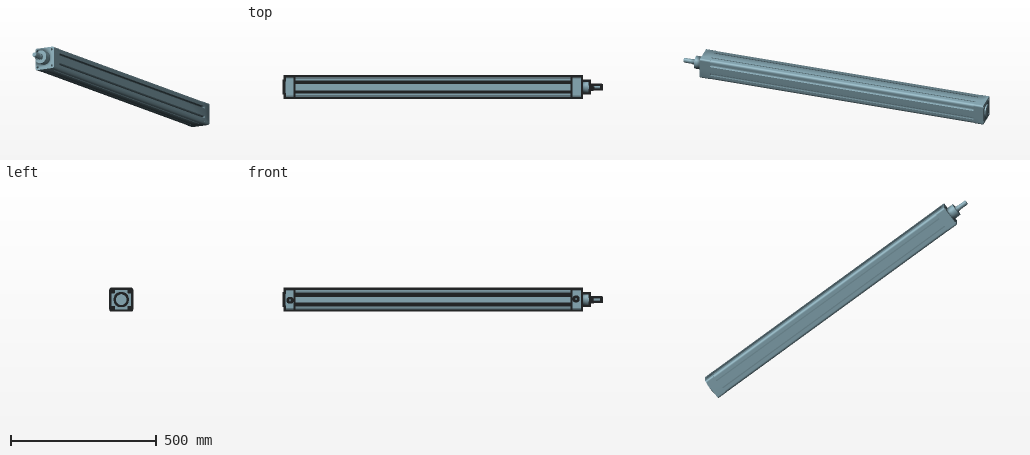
import cadquery as cq

total_length = 1094.0
side = 75.0
rear_boss_length = 4.0
rear_cap_length = 34.0
front_cap_length = 36.0
front_boss_length = 26.0
rod_reach = 69.0
boss_diameter = 45.0
cap_corner_radius = 7.0

mount_hole_spacing = 57.0
mount_hole_diameter = 8.0
mount_hole_depth = 16.0
port_diameter = 16.0
port_depth = 13.0
port_inset = 15.0
port_offset = 2.0

barrel_corner_radius = 9.0
side_groove_inner = 13.0
side_groove_foot = 18.0
side_groove_outer = 21.0
side_groove_depth = 11.0
top_slot_inner = 14.0
top_slot_outer = 19.0
top_slot_depth = 3.0

rod_diameter = 19.0
thread_diameter = 16.0
thread_length = 30.0
collar_diameter = 20.0
collar_length = 3.0
rod_chamfer_length = 3.0
tip_chamfer_length = 3.0
tip_chamfer_height = 1.0

rear_cap_start = rear_boss_length
barrel_start = rear_cap_start + rear_cap_length
front_cap_end = total_length - rod_reach
front_cap_start = front_cap_end - front_cap_length
boss_face = front_cap_end + front_boss_length
barrel_length = front_cap_start - barrel_start
rear_port_x = barrel_start - port_inset
front_port_x = front_cap_start + port_inset
half_side = side / 2


def section_at(x):
    """Work plane across the cylinder at x: local x is +Y, local y is +Z."""
    return cq.Workplane("YZ", origin=(x, 0, 0))


def cap_block(start, length):
    return section_at(start).rect(side, side).extrude(length).edges("|X").fillet(cap_corner_radius)


def mount_holes(start):
    return (
        section_at(start)
        .rect(mount_hole_spacing, mount_hole_spacing, forConstruction=True)
        .vertices()
        .circle(mount_hole_diameter / 2)
        .extrude(mount_hole_depth)
    )


def port(x, z):
    """Blind port going in from the -Y face."""
    return (
        cq.Workplane("XZ", origin=(x, -half_side, z))
        .circle(port_diameter / 2)
        .extrude(-port_depth)
    )


def make_rear_cap():
    """Square cap with a shallow centring boss on its -X face."""
    cap = cap_block(rear_cap_start, rear_cap_length)
    boss = section_at(0).circle(boss_diameter / 2).extrude(rear_boss_length)
    return cap.union(boss).cut(mount_holes(rear_cap_start)).cut(port(rear_port_x, -port_offset))


def make_front_cap():
    """Square cap with the rod guide boss on its +X face, bored through for the rod."""
    cap = cap_block(front_cap_start, front_cap_length)
    boss = section_at(front_cap_end).circle(boss_diameter / 2).extrude(front_boss_length)
    rod_bore = (
        section_at(front_cap_start)
        .circle(rod_diameter / 2)
        .extrude(front_cap_length + front_boss_length)
    )
    return (
        cap.union(boss)
        .cut(rod_bore)
        .cut(mount_holes(front_cap_end - mount_hole_depth))
        .cut(port(front_port_x, port_offset))
    )


def make_barrel():
    """Extrusion with sloped grooves in the +-Y faces and narrow slots in the +-Z faces."""
    barrel = (
        section_at(barrel_start)
        .rect(side, side)
        .extrude(barrel_length)
        .edges("|X")
        .fillet(barrel_corner_radius)
    )
    floor = half_side - side_groove_depth
    side_groove = (
        section_at(barrel_start)
        .moveTo(-half_side, side_groove_inner)
        .lineTo(-floor, side_groove_foot)
        .lineTo(-floor, side_groove_outer)
        .lineTo(-half_side, side_groove_outer)
        .close()
        .extrude(barrel_length)
    )
    top_slot = (
        section_at(barrel_start)
        .center((top_slot_inner + top_slot_outer) / 2, half_side - top_slot_depth / 2)
        .rect(top_slot_outer - top_slot_inner, top_slot_depth)
        .extrude(barrel_length)
    )
    for groove in (side_groove, top_slot):
        for cutter in (groove, groove.mirror("XY")):
            barrel = barrel.cut(cutter).cut(cutter.mirror("XZ"))
    return barrel


def make_rod():
    """Shank through the front cap, collar outside the boss, and a chamfered thread at the tip."""
    rod_radius = rod_diameter / 2
    collar_radius = collar_diameter / 2
    thread_radius = thread_diameter / 2
    collar_end = boss_face + collar_length
    thread_start = total_length - thread_length
    half_profile = (
        cq.Workplane("XZ")
        .moveTo(front_cap_start, 0)
        .lineTo(front_cap_start, rod_radius)
        .lineTo(boss_face, rod_radius)
        .lineTo(boss_face, collar_radius)
        .lineTo(collar_end, collar_radius)
        .lineTo(collar_end, rod_radius)
        .lineTo(thread_start - rod_chamfer_length, rod_radius)
        .lineTo(thread_start, thread_radius)
        .lineTo(total_length - tip_chamfer_length, thread_radius)
        .lineTo(total_length, thread_radius - tip_chamfer_height)
        .lineTo(total_length, 0)
        .close()
    )
    return half_profile.revolve(360, (0, 0, 0), (1, 0, 0))


rear_cap = make_rear_cap()
barrel = make_barrel()
front_cap = make_front_cap()
rod = make_rod()

result = cq.Compound.makeCompound([rear_cap.val(), barrel.val(), front_cap.val(), rod.val()])